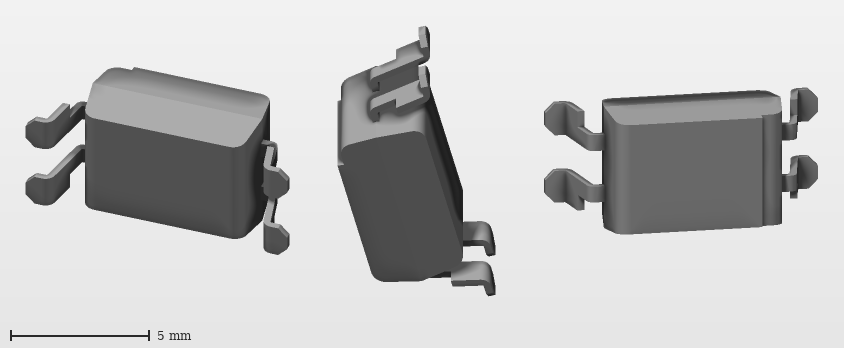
import cadquery as cq
import math

HOUSING_LENGTH = 6.49
HOUSING_HEIGHT = 4.58
HALF_DEPTH = 1.7
DRAFT_ANGLE = 7.7
END_EDGE_RADIUS = 0.5
STEP_DEPTH = 0.24
STEP_WALL_X = -2.26

LEAD_THICKNESS = 0.26
LEAD_WIDTH = 1.2
NECK_WIDTH = 0.6
LEAD_PITCH = 2.54
LEAD_SPAN = 10.0
FOOT_BOTTOM_Y = -2.3
NECK_BOTTOM_Y = -0.95
SHOULDER_X = 3.6
LEG_ANGLE = 12.0
UPPER_BEND_RADIUS = 0.28
LOWER_BEND_RADIUS = 0.39
INNER_BEND_RADIUS = 0.04
TIP_CHAMFER = 0.34
SEAT_DEPTH = 0.1


def drafted_half(side):
    """Block from the parting plane to the +Y (side = 1) or -Y (side = -1) flat face."""
    return (
        cq.Workplane("XZ")
        .rect(HOUSING_LENGTH, HOUSING_HEIGHT)
        .extrude(-side * HALF_DEPTH, taper=DRAFT_ANGLE)
    )


def cut_step(half):
    """Lower the -X end of the +Y face over the full height."""
    length = HOUSING_LENGTH / 2 + STEP_WALL_X
    step = cq.Workplane("XY").box(length, STEP_DEPTH, HOUSING_HEIGHT, centered=(False, False, True))
    return half.cut(step.translate((-HOUSING_LENGTH / 2, HALF_DEPTH - STEP_DEPTH, 0)))


def round_end_edges(half):
    """Round the outer Z edge of each drafted end."""
    for end in ("<X", ">X"):
        end_face_edges = half.faces(end).edges("|Z").vals()
        outer_edge = max(end_face_edges, key=lambda edge: abs(edge.Center().y))
        half = half.newObject([outer_edge]).fillet(END_EDGE_RADIUS)
    return half


def bent_strip():
    """Bent strip of a +X lead, spanning the full lead width about Z = 0."""
    half_thickness = LEAD_THICKNESS / 2
    foot_top_y = FOOT_BOTTOM_Y + LEAD_THICKNESS
    lean = math.radians(LEG_ANGLE)
    corner_shift = LEAD_THICKNESS * math.tan((math.pi / 2 - lean) / 2)
    inner_end_x = HOUSING_LENGTH / 2 - SEAT_DEPTH
    heel_x = SHOULDER_X + corner_shift + (half_thickness - foot_top_y) * math.tan(lean)
    strip = (
        cq.Workplane("XY")
        .moveTo(inner_end_x, -half_thickness)
        .lineTo(SHOULDER_X, -half_thickness)
        .lineTo(heel_x - corner_shift, FOOT_BOTTOM_Y)
        .lineTo(LEAD_SPAN / 2, FOOT_BOTTOM_Y)
        .lineTo(LEAD_SPAN / 2, foot_top_y)
        .lineTo(heel_x, foot_top_y)
        .lineTo(SHOULDER_X + corner_shift, half_thickness)
        .lineTo(inner_end_x, half_thickness)
        .close()
        .extrude(LEAD_WIDTH / 2, both=True)
    )
    bends = [
        (SHOULDER_X, -half_thickness, INNER_BEND_RADIUS),
        (SHOULDER_X + corner_shift, half_thickness, UPPER_BEND_RADIUS),
        (heel_x, foot_top_y, INNER_BEND_RADIUS),
        (heel_x - corner_shift, FOOT_BOTTOM_Y, LOWER_BEND_RADIUS),
    ]
    for corner_x, corner_y, radius in bends:
        corner_edge = cq.selectors.NearestToPointSelector((corner_x, corner_y, 0))
        strip = strip.edges("|Z").edges(corner_edge).fillet(radius)
    return strip


def make_lead(x_side, z_side):
    """Lead on the +X or -X end, in the upper or lower row; the neck is on the inner half."""
    relief_width = LEAD_WIDTH - NECK_WIDTH
    relief = (
        cq.Workplane("XY")
        .box(LEAD_SPAN / 2, LEAD_THICKNESS / 2 - NECK_BOTTOM_Y, relief_width, centered=False)
        .translate((0, NECK_BOTTOM_Y, LEAD_WIDTH / 2 - relief_width))
    )
    lead = bent_strip().faces(">X").edges("|Y").chamfer(TIP_CHAMFER).cut(relief)
    lead = lead.translate((0, 0, LEAD_PITCH / 2))
    if x_side < 0:
        lead = lead.mirror("YZ")
    if z_side < 0:
        lead = lead.mirror("XY")
    return lead


def cut_lead_seats(half, leads):
    """Remove the recesses in which the lead ends sit."""
    for lead in leads:
        half = half.cut(lead)
    return half


leads = [make_lead(x_side, z_side) for x_side in (-1, 1) for z_side in (-1, 1)]
upper_half = cut_lead_seats(round_end_edges(cut_step(drafted_half(1))), leads)
lower_half = cut_lead_seats(round_end_edges(drafted_half(-1)), leads)

result = cq.Compound.makeCompound(
    [upper_half.val(), lower_half.val(), *[lead.val() for lead in leads]]
)